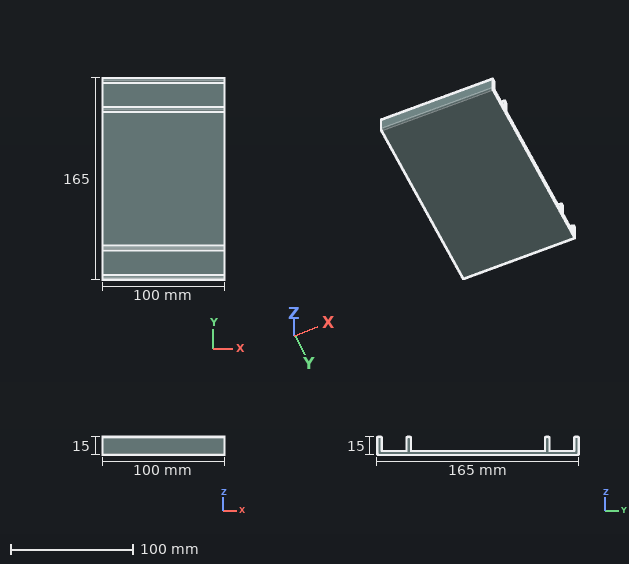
import cadquery as cq

length = 100.0
width = 165.0
height = 15.0
floor_thickness = 3.5
wall_thickness = 4.0
rib_inset = 24.0
edge_radius = 1.5

wall_offset = (width - wall_thickness) / 2
rib_offset = wall_offset - rib_inset


def upright(y_center):
    """Full-height lengthwise strip with a rounded top."""
    strip = cq.Workplane("XY").box(length, wall_thickness, height, centered=(True, True, False))
    return strip.edges("|X and >Z").fillet(edge_radius).translate((0, y_center, 0))


result = cq.Workplane("XY").box(length, width, floor_thickness, centered=(True, True, False))

for side in (-1, 1):
    result = result.union(upright(side * wall_offset))
    result = result.union(upright(side * rib_offset))

result = result.clean().edges("|X and <Z").fillet(edge_radius)